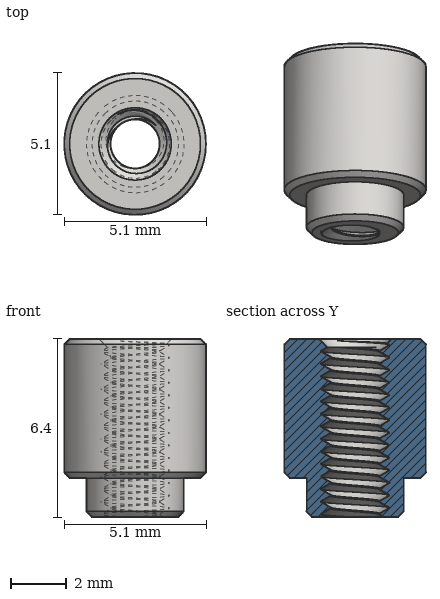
import cadquery as cq
import math

BODY_DIAMETER = 5.1
BODY_LENGTH = 5.0
SPIGOT_DIAMETER = 3.5
SPIGOT_LENGTH = 1.4
EDGE_CHAMFER = 0.2
TOTAL_LENGTH = SPIGOT_LENGTH + BODY_LENGTH

COUNTERSINK_DIAMETER = 2.6
COUNTERSINK_DEPTH = 0.3
COUNTERSINK_TAPER = 45

BORE_DIAMETER = 1.756
THREAD_ROOT_DIAMETER = 2.46
THREAD_PITCH = 0.45
THREAD_HALF_ANGLE = math.radians(30)
THREAD_PHASE = 120.0
THREAD_PHASE_HEIGHT = TOTAL_LENGTH - (COUNTERSINK_DIAMETER - THREAD_ROOT_DIAMETER) / 2
GROOVE_OVERLAP = 0.01
TURNS_BELOW_PHASE_HEIGHT = math.ceil(TOTAL_LENGTH / THREAD_PITCH) + 1
TURNS_ABOVE_PHASE_HEIGHT = 1

STOCK_WALL_ALLOWANCE = 0.5
STOCK_DIAMETER = BODY_DIAMETER + 2 * STOCK_WALL_ALLOWANCE
STOCK_OVERHANG = 2.0


def chamfered_cylinder(diameter, length, chamfered_edges):
    """Cylinder standing on Z = 0 with the selected end edges chamfered."""
    cylinder = cq.Workplane("XY").circle(diameter / 2).extrude(length)
    return cylinder.edges(chamfered_edges).chamfer(EDGE_CHAMFER)


def blank():
    """Body on top of the narrower spigot, without the hole."""
    spigot = chamfered_cylinder(SPIGOT_DIAMETER, SPIGOT_LENGTH, "<Z")
    body = chamfered_cylinder(BODY_DIAMETER, BODY_LENGTH, "<Z or >Z")
    return spigot.union(body.translate((0, 0, SPIGOT_LENGTH)))


def countersink():
    """Truncated cone opening at the body end."""
    mouth = cq.Workplane("XY").workplane(offset=TOTAL_LENGTH).circle(COUNTERSINK_DIAMETER / 2)
    return mouth.extrude(-COUNTERSINK_DEPTH, taper=COUNTERSINK_TAPER)


def thread_groove():
    """V-shaped helical cutter that runs out beyond both ends of the part."""
    root_radius = THREAD_ROOT_DIAMETER / 2
    inner_radius = BORE_DIAMETER / 2 - GROOVE_OVERLAP
    half_width = (root_radius - inner_radius) * math.tan(THREAD_HALF_ANGLE)
    turns = TURNS_BELOW_PHASE_HEIGHT + TURNS_ABOVE_PHASE_HEIGHT
    helix = cq.Workplane(cq.Wire.makeHelix(THREAD_PITCH, turns * THREAD_PITCH, root_radius))
    profile = (
        cq.Workplane("XZ")
        .moveTo(inner_radius, -half_width)
        .lineTo(root_radius, 0)
        .lineTo(inner_radius, half_width)
        .close()
    )
    groove = profile.sweep(helix, isFrenet=True)
    start_height = THREAD_PHASE_HEIGHT - TURNS_BELOW_PHASE_HEIGHT * THREAD_PITCH
    return groove.rotate((0, 0, 0), (0, 0, 1), THREAD_PHASE).translate((0, 0, start_height))


def threaded_stock():
    """Tube with the tapped bore, longer than the groove so that the thread runs fully inside it."""
    tube = (
        cq.Workplane("XY")
        .workplane(offset=-STOCK_OVERHANG)
        .circle(STOCK_DIAMETER / 2)
        .circle(BORE_DIAMETER / 2)
        .extrude(TOTAL_LENGTH + 2 * STOCK_OVERHANG)
    )
    return tube.cut(thread_groove())


outside = blank().cut(countersink())
result = threaded_stock().intersect(outside)